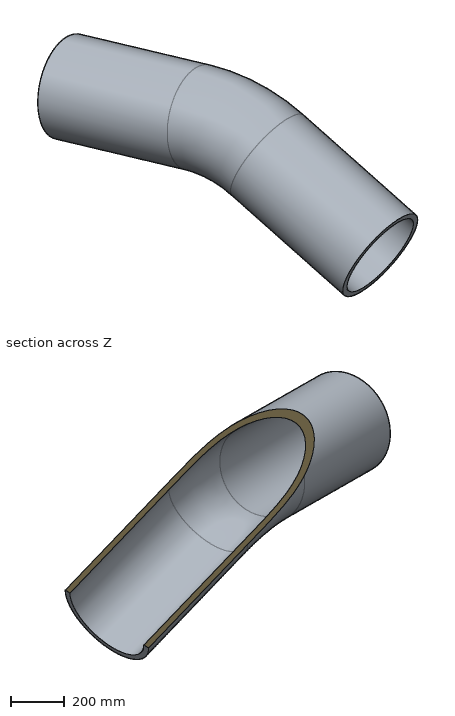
import cadquery as cq
import math

outer_diameter = 400.0
inner_diameter = 353.0
leg_length = 579.0
bend_radius = 631.0
bend_angle = 30.0

angle = math.radians(bend_angle)
half_angle = angle / 2
bend_start = (leg_length, 0)
bend_middle = (
    leg_length + bend_radius * math.sin(half_angle),
    -bend_radius * (1 - math.cos(half_angle)),
)
bend_end = (
    leg_length + bend_radius * math.sin(angle),
    -bend_radius * (1 - math.cos(angle)),
)
pipe_end = (
    bend_end[0] + leg_length * math.cos(angle),
    bend_end[1] - leg_length * math.sin(angle),
)
centreline = (
    cq.Workplane("XZ")
    .lineTo(*bend_start)
    .threePointArc(bend_middle, bend_end)
    .lineTo(*pipe_end)
)

ring = cq.Workplane("YZ").circle(outer_diameter / 2).circle(inner_diameter / 2)
result = ring.sweep(centreline)